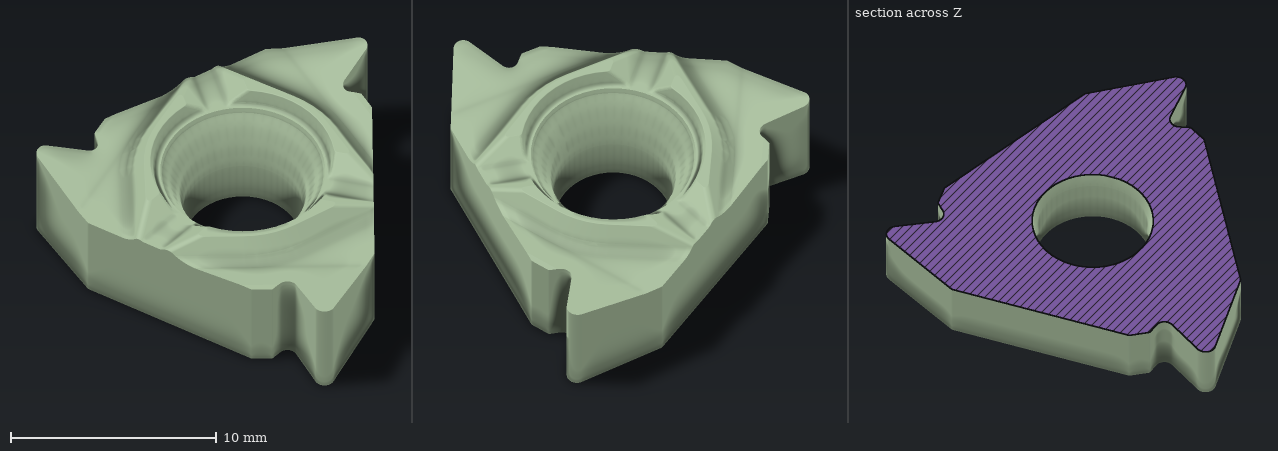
import cadquery as cq
import math

CORNERS = 3
STEP = 360 / CORNERS

INSCRIBED_RADIUS = 6.35
TOOTH_HALF_ANGLE = 27.5
TOOTH_AXIS_X = -3.86
TOOTH_TIP_Y = 9.283
TOOTH_TIP_RADIUS = 0.5
GROOVE_BOTTOM_Y = 6.99
GROOVE_RADIUS = 0.48
CREST_Y = 7.52
KINK_RADIUS = 0.2
CREST_CORNER_RADIUS = 0.1

LAND_Z = 4.96
SLOT_FLOOR_Z = 5.29
CREST_Z = 5.2
TOP_Z = 6.05

RAKE_ANGLE = 10
RAKE_START_Y = 5.86
RAKE_BLEND_RADIUS = 0.9

BOSS_TOP_RADIUS = 4.81
BOSS_TAPER = 37.2
BOSS_ROUND_START = 90
BOSS_ROUND_END = 121.3
BOSS_FOOT_RADIUS = 0.8
BOSS_TOP_EDGE_RADIUS = 0.05

SLOT_ANGLE = 166.4
SLOT_FLOOR_WIDTH = 1.02
SLOT_WALL_SLOPE = 36
SLOT_FLOOR_BLEND = 0.3
SLOT_EDGE_RADIUS = 0.3
SLOT_MOUTH_RADIUS = 0.2

BORE_RADIUS = 2.85
SEAT_RADIUS = 3.92
SEAT_DEPTH = 2.75
SEAT_EDGE_WIDTH = 0.1
SEAT_EDGE_DEPTH = 0.25
RECESS_FLOOR_RADIUS = 4.24
RECESS_TOP_RADIUS = 4.5
RECESS_FLOOR_BLEND = 0.2

MARGIN = 1.0
TOLERANCE = 0.02
REACH = 2 * INSCRIBED_RADIUS


def polar(radius, angle):
    """Point at a radius and an angle in degrees."""
    return radius * math.cos(math.radians(angle)), radius * math.sin(math.radians(angle))


def at_every_corner(shape):
    """The shape repeated at every corner of the insert, as one solid."""
    whole = shape
    for corner in range(1, CORNERS):
        whole = whole.union(shape.rotate((0, 0, 0), (0, 0, 1), corner * STEP))
    return whole


def rotated_point(point, angle):
    """The point turned about the axis by an angle in degrees."""
    return polar(math.hypot(*point), math.degrees(math.atan2(point[1], point[0])) + angle)


def round_uprights(prism, point, radius):
    """Round the upright edge through a point of the outline, at every corner."""
    places = [rotated_point(point, corner * STEP) for corner in range(CORNERS)]
    uprights = [
        edge
        for edge in prism.edges("|Z").vals()
        if min(math.dist(edge.Center().toTuple()[:2], place) for place in places) < TOLERANCE
    ]
    return cq.Workplane(obj=prism.val().fillet(radius, uprights))


def outline_prism():
    """Full height prism over the outline with three teeth, and the X where the +Y crest starts."""
    flank_x = math.cos(math.radians(TOOTH_HALF_ANGLE))
    flank_y = math.sin(math.radians(TOOTH_HALF_ANGLE))
    slope = math.tan(math.radians(TOOTH_HALF_ANGLE))

    tip_centre_y = TOOTH_TIP_Y - TOOTH_TIP_RADIUS
    tip_side_x = TOOTH_TIP_RADIUS * flank_x
    tip_side_y = tip_centre_y + TOOTH_TIP_RADIUS * flank_y
    apex_y = tip_centre_y + TOOTH_TIP_RADIUS / flank_y

    heel = (-INSCRIBED_RADIUS, apex_y - (TOOTH_AXIS_X + INSCRIBED_RADIUS) / slope)

    groove_y = GROOVE_BOTTOM_Y + GROOVE_RADIUS
    groove_start_y = groove_y - GROOVE_RADIUS * flank_y
    groove_start_x = TOOTH_AXIS_X + (apex_y - groove_start_y) * slope
    groove_x = groove_start_x + GROOVE_RADIUS * flank_x
    arc_end = GROOVE_RADIUS * math.sqrt(0.5)
    groove_end = (groove_x + arc_end, groove_y - arc_end)
    crest_start = (groove_end[0] + CREST_Y - groove_end[1], CREST_Y)

    side_x, side_y = polar(1, STEP / 2)
    crest_end = ((INSCRIBED_RADIUS - CREST_Y * side_y) / side_x, CREST_Y)

    tip_left = (TOOTH_AXIS_X - tip_side_x, tip_side_y)
    tip_top = (TOOTH_AXIS_X, TOOTH_TIP_Y)
    tip_right = (TOOTH_AXIS_X + tip_side_x, tip_side_y)
    groove_start = (groove_start_x, groove_start_y)
    groove_bottom = (groove_x, GROOVE_BOTTOM_Y)

    sketch = cq.Workplane("XY").moveTo(*heel)
    for corner in range(CORNERS):
        turn = -corner * STEP
        if corner:
            sketch = sketch.lineTo(*rotated_point(heel, turn))
        sketch = (
            sketch.lineTo(*rotated_point(tip_left, turn))
            .threePointArc(rotated_point(tip_top, turn), rotated_point(tip_right, turn))
            .lineTo(*rotated_point(groove_start, turn))
            .threePointArc(rotated_point(groove_bottom, turn), rotated_point(groove_end, turn))
            .lineTo(*rotated_point(crest_start, turn))
            .lineTo(*rotated_point(crest_end, turn))
        )
    prism = sketch.close().extrude(TOP_Z)
    prism = round_uprights(prism, heel, KINK_RADIUS)
    prism = round_uprights(prism, crest_end, KINK_RADIUS)
    return round_uprights(prism, crest_start, CREST_CORNER_RADIUS), crest_start[0]


def boss_on_land():
    """Tapered boss on a wide flat land, with a hollow round along its foot."""
    foot_radius = BOSS_TOP_RADIUS + (TOP_Z - LAND_Z) * math.tan(math.radians(BOSS_TAPER))
    round_middle = (BOSS_ROUND_START + BOSS_ROUND_END) / 2
    half_corner = (BOSS_ROUND_START + STEP - BOSS_ROUND_END) / 2
    corner_radius = foot_radius / math.cos(math.radians(half_corner))
    corner_angle = BOSS_ROUND_END + half_corner

    sketch = cq.Workplane("XY", origin=(0, 0, LAND_Z)).moveTo(*polar(foot_radius, BOSS_ROUND_START))
    for corner in range(CORNERS):
        turn = corner * STEP
        if corner:
            sketch = sketch.lineTo(*polar(foot_radius, BOSS_ROUND_START + turn))
        sketch = sketch.threePointArc(
            polar(foot_radius, round_middle + turn),
            polar(foot_radius, BOSS_ROUND_END + turn),
        ).lineTo(*polar(corner_radius, corner_angle + turn))
    boss = sketch.close().extrude(TOP_Z - LAND_Z, taper=BOSS_TAPER)

    body = cq.Workplane("XY").circle(REACH).extrude(LAND_Z).union(boss)
    land_face = body.faces("+Z").faces("<Z").val()
    foot_edges = [edge for wire in land_face.innerWires() for edge in wire.Edges()]
    return cq.Workplane(obj=body.val().fillet(BOSS_FOOT_RADIUS, foot_edges))


def radial_slot():
    """Cutter for one slot: flat floor, sloping walls, rounded floor corners."""
    cutter_top = TOP_Z + MARGIN
    half_floor = SLOT_FLOOR_WIDTH / 2
    half_top = half_floor + (cutter_top - SLOT_FLOOR_Z) / math.tan(math.radians(SLOT_WALL_SLOPE))
    cutter = (
        cq.Workplane("YZ")
        .moveTo(-half_floor, SLOT_FLOOR_Z)
        .lineTo(half_floor, SLOT_FLOOR_Z)
        .lineTo(half_top, cutter_top)
        .lineTo(-half_top, cutter_top)
        .close()
        .extrude(REACH)
    )
    cutter = cutter.faces("<Z").edges("|X").fillet(SLOT_FLOOR_BLEND)
    return cutter.rotate((0, 0, 0), (0, 0, 1), SLOT_ANGLE)


def round_climbing_edges(body, inner_radius, outer_radius, edge_radius):
    """Round the edges from slot floor to boss top that lie between two distances from the axis."""
    def is_chosen(edge):
        box = edge.BoundingBox()
        radii = [math.hypot(v.X, v.Y) for v in edge.Vertices()]
        climbs = box.zmax > TOP_Z - TOLERANCE and SLOT_FLOOR_Z < box.zmin < SLOT_FLOOR_Z + SLOT_FLOOR_BLEND
        return climbs and min(radii) > inner_radius and max(radii) < outer_radius

    chosen = [edge for edge in body.edges().vals() if is_chosen(edge)]
    return cq.Workplane(obj=body.val().fillet(edge_radius, chosen))


def rake_wedge():
    """Wedge of the +Y tooth, with a hollow round where it leaves the land."""
    end_y = TOOTH_TIP_Y + MARGIN
    slope = math.tan(math.radians(RAKE_ANGLE))
    wedge = (
        cq.Workplane("YZ", origin=(-REACH, 0, 0))
        .moveTo(RAKE_START_Y - MARGIN, 0)
        .lineTo(end_y, 0)
        .lineTo(end_y, LAND_Z + (end_y - RAKE_START_Y) * slope)
        .lineTo(RAKE_START_Y, LAND_Z)
        .lineTo(RAKE_START_Y - MARGIN, LAND_Z)
        .close()
        .extrude(2 * REACH)
    )
    bend = cq.selectors.NearestToPointSelector((0, RAKE_START_Y, LAND_Z))
    return wedge.edges("|X").edges(bend).fillet(RAKE_BLEND_RADIUS)


def crest_relief(crest_start_x):
    """Cutter that levels the top over the crest beside the thread groove."""
    start_x = crest_start_x - GROOVE_RADIUS
    return cq.Workplane("XY", origin=(start_x, INSCRIBED_RADIUS, CREST_Z)).box(
        REACH, MARGIN + CREST_Y - INSCRIBED_RADIUS, TOP_Z, centered=False
    )


def screw_hole():
    """Cutter for the bore, its flared seat and the recess around the mouth."""
    flare = SEAT_RADIUS - BORE_RADIUS
    seat_top = SLOT_FLOOR_Z - SEAT_EDGE_DEPTH
    seat_bottom = seat_top - SEAT_DEPTH
    seat_curve = (flare**2 + SEAT_DEPTH**2) / (2 * flare)
    half_turn = math.asin(SEAT_DEPTH / seat_curve) / 2
    seat_middle = (
        BORE_RADIUS + seat_curve * (1 - math.cos(half_turn)),
        seat_bottom + seat_curve * math.sin(half_turn),
    )
    wall_lean = (RECESS_TOP_RADIUS - RECESS_FLOOR_RADIUS) / (TOP_Z - SLOT_FLOOR_Z)
    cutter_top = TOP_Z + MARGIN
    cutter = (
        cq.Workplane("XZ")
        .moveTo(0, -MARGIN)
        .lineTo(BORE_RADIUS, -MARGIN)
        .lineTo(BORE_RADIUS, seat_bottom)
        .threePointArc(seat_middle, (SEAT_RADIUS, seat_top))
        .lineTo(SEAT_RADIUS + SEAT_EDGE_WIDTH, SLOT_FLOOR_Z)
        .lineTo(RECESS_FLOOR_RADIUS, SLOT_FLOOR_Z)
        .lineTo(RECESS_TOP_RADIUS + MARGIN * wall_lean, cutter_top)
        .lineTo(0, cutter_top)
        .close()
        .revolve()
    )
    floor_corner = cq.selectors.RadiusNthSelector(-1)
    in_floor = cutter.faces("|Z").faces(cq.selectors.NearestToPointSelector((0, 0, SLOT_FLOOR_Z)))
    return in_floor.edges(floor_corner).fillet(RECESS_FLOOR_BLEND)


prism, crest_start_x = outline_prism()
body = boss_on_land().cut(at_every_corner(radial_slot()))
body = round_climbing_edges(body, BOSS_TOP_RADIUS + TOLERANCE, REACH, SLOT_EDGE_RADIUS)
body = body.cut(screw_hole())
body = round_climbing_edges(body, 0, RECESS_TOP_RADIUS + TOLERANCE, SLOT_MOUTH_RADIUS)
body = body.faces(">Z").edges().fillet(BOSS_TOP_EDGE_RADIUS)
body = body.union(at_every_corner(rake_wedge()))
result = body.intersect(prism).cut(at_every_corner(crest_relief(crest_start_x)))